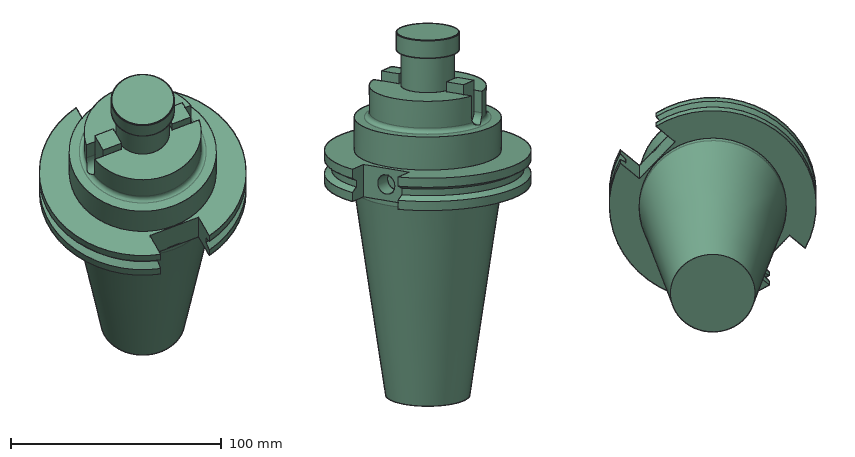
import cadquery as cq
import math

total_height = 179.2
gauge_height = 101.8
flange_bottom = 104.9
flange_top = 120.8
collar_top = 137.1
spigot_top = 152.7
key_top = 157.5

taper_small_radius = 20.0
taper_large_radius = 35.0
flange_radius = 49.1
spigot_radius = 27.8
spigot_fillet = 2.3

groove_radius = 45.7
groove_floor_width = 3.2
groove_mouth_width = 7.0
groove_height = (flange_bottom + flange_top) / 2

drive_slot_width = 25.5
drive_slot_floor_left = 37.5
drive_slot_floor_right = 35.3
pilot_hole_diameter = 9.5
pilot_hole_depth = 9.0

key_width = 9.3
key_inner_radius = 13.3
key_outer_radius = 23.0
key_bottom_rise = 0.4
key_bottom = collar_top + key_bottom_rise

screw_head_radius = 15.0
screw_head_height = 9.1
screw_head_chamfer = 0.4
screw_shank_radius = 12.7


def turned_blank():
    """Taper, grooved flange, collar and filleted spigot as one revolved profile."""
    half_mouth = groove_mouth_width / 2
    half_floor = groove_floor_width / 2
    fillet_middle = spigot_fillet * (1 - math.sqrt(0.5))
    profile = (
        cq.Workplane("XZ")
        .moveTo(0, 0)
        .lineTo(taper_small_radius, 0)
        .lineTo(taper_large_radius, gauge_height)
        .lineTo(taper_large_radius, flange_bottom)
        .lineTo(flange_radius, flange_bottom)
        .lineTo(flange_radius, groove_height - half_mouth)
        .lineTo(groove_radius, groove_height - half_floor)
        .lineTo(groove_radius, groove_height + half_floor)
        .lineTo(flange_radius, groove_height + half_mouth)
        .lineTo(flange_radius, flange_top)
        .lineTo(taper_large_radius, flange_top)
        .lineTo(taper_large_radius, collar_top)
        .lineTo(spigot_radius + spigot_fillet, collar_top)
        .threePointArc(
            (spigot_radius + fillet_middle, collar_top + fillet_middle),
            (spigot_radius, collar_top + spigot_fillet),
        )
        .lineTo(spigot_radius, spigot_top)
        .lineTo(0, spigot_top)
        .close()
    )
    return profile.revolve(360, (0, 0, 0), (0, 1, 0))


def drive_slot(floor_distance, side):
    """Block that cuts one drive slot; side is -1 or +1 along X."""
    length = flange_radius
    return (
        cq.Workplane("XY")
        .workplane(offset=flange_bottom)
        .center(side * (floor_distance + length / 2), 0)
        .rect(length, drive_slot_width)
        .extrude(flange_top - flange_bottom)
    )


def pilot_hole():
    """Blind radial hole in the floor of the left drive slot."""
    return (
        cq.Workplane("YZ")
        .workplane(offset=-drive_slot_floor_left)
        .center(0, groove_height)
        .circle(pilot_hole_diameter / 2)
        .extrude(pilot_hole_depth)
    )


def round_bottom_bar(inner, outer, top, side):
    """Bar along Y with a half-round underside, between two distances from the axis."""
    half_width = key_width / 2
    arc_height = key_bottom + half_width
    bar = (
        cq.Workplane("XZ")
        .moveTo(-half_width, top)
        .lineTo(-half_width, arc_height)
        .threePointArc((0, key_bottom), (half_width, arc_height))
        .lineTo(half_width, top)
        .close()
        .extrude(outer - inner)
        .translate((0, -inner, 0))
    )
    return bar if side < 0 else bar.mirror("XZ")


def make_holder():
    holder = turned_blank()
    holder = holder.cut(drive_slot(drive_slot_floor_left, -1))
    holder = holder.cut(drive_slot(drive_slot_floor_right, 1))
    holder = holder.cut(pilot_hole())
    for side in (-1, 1):
        holder = holder.cut(round_bottom_bar(key_inner_radius, taper_large_radius, spigot_top, side))
    return holder


def make_key(side):
    return round_bottom_bar(key_inner_radius, key_outer_radius, key_top, side)


def make_screw():
    """Round shank standing on the spigot, with a larger head chamfered at both rims."""
    head_bottom = total_height - screw_head_height
    shank = (
        cq.Workplane("XY")
        .workplane(offset=spigot_top)
        .circle(screw_shank_radius)
        .extrude(head_bottom - spigot_top)
    )
    head = (
        cq.Workplane("XY")
        .workplane(offset=head_bottom)
        .circle(screw_head_radius)
        .extrude(screw_head_height)
        .faces("<Z or >Z")
        .chamfer(screw_head_chamfer)
    )
    return shank.union(head)


holder = make_holder()
screw = make_screw()
keys = [make_key(side) for side in (-1, 1)]

result = cq.Compound.makeCompound([holder.val(), screw.val(), *[key.val() for key in keys]])